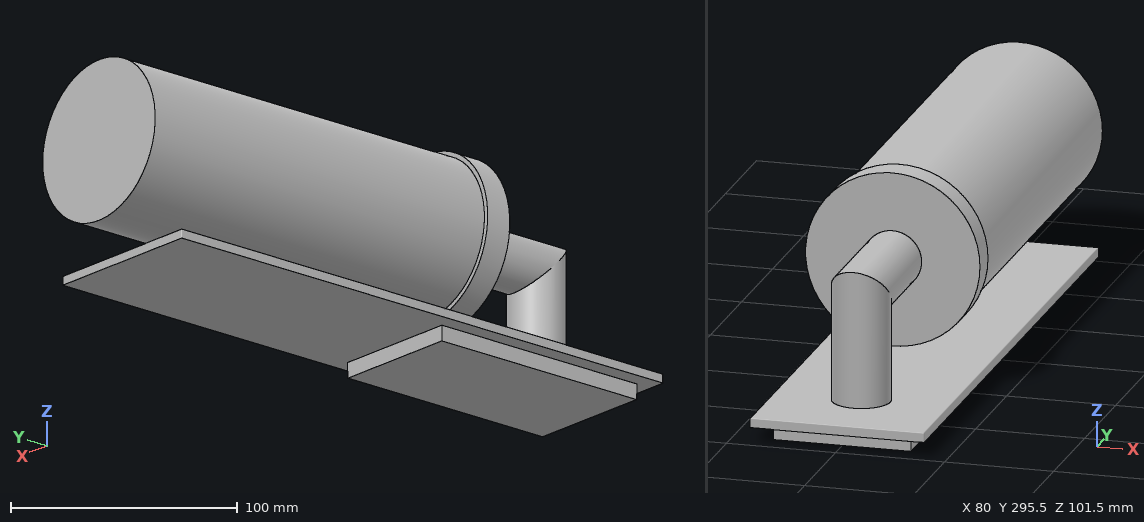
import cadquery as cq

total_length = 295.5
total_height = 101.5

plate_width = 80.0
plate_length = 282.0
plate_thickness = 4.5
plate_edge_radius = 0.5

foot_width = 63.3
foot_length = 114.0
foot_height = 7.5
foot_start = 8.3

arm_diameter = 26.5
arm_y = 39.5

collar_diameter = plate_width
collar_start = 90.0
collar_length = 13.0
shade_diameter = 75.7
axis_z = total_height - collar_diameter / 2

plate_top = foot_height + plate_thickness
shade_start = collar_start + collar_length


def block_from(width, length, height, start_y, start_z):
    """Box centred on X, starting at the given Y and Z."""
    return cq.Workplane("XY").box(width, length, height, centered=(True, False, False)).translate(
        (0, start_y, start_z)
    )


def cylinder_along_y(diameter, start_y, end_y):
    """Cylinder on the lamp axis between two Y positions."""
    return (
        cq.Workplane("XZ", origin=(0, start_y, axis_z))
        .circle(diameter / 2)
        .extrude(start_y - end_y)
    )


def mitred_arm():
    """Round bar rising from the plate and turning sharply to the collar."""
    path = cq.Workplane("YZ").polyline([(arm_y, plate_top), (arm_y, axis_z), (collar_start, axis_z)])
    return (
        cq.Workplane("XY", origin=(0, arm_y, plate_top))
        .circle(arm_diameter / 2)
        .sweep(path, transition="right")
    )


foot = block_from(foot_width, foot_length, foot_height, foot_start, 0)
plate = block_from(plate_width, plate_length, plate_thickness, 0, foot_height)
plate = plate.edges("|Z or >Z").fillet(plate_edge_radius)
collar = cylinder_along_y(collar_diameter, collar_start, shade_start)
shade = cylinder_along_y(shade_diameter, shade_start, total_length)

result = foot.union(plate).union(mitred_arm()).union(collar).union(shade)